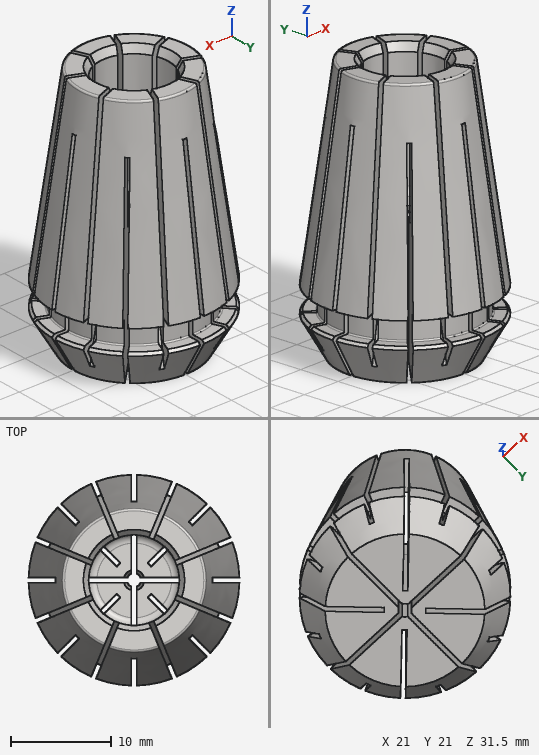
import cadquery as cq
import math

height = 31.5
max_diameter = 21.0
taper_angle = 8.0
nose_angle = 30.0
nose_height = 4.45
lip_chamfer = 0.3
neck_diameter = 17.5
neck_top = 7.55
neck_fillet = 0.15
top_fillet = 0.25

bore_diameter = 9.0
bore_floor = 15.5
bore_floor_fillet = 0.8
bore_chamfer_width = 0.55
bore_chamfer_depth = 0.95
clamp_diameter = 1.4
mouth_diameter = 2.05
mouth_depth = 2.2

slot_width = 0.5
cross_slot_top = 26.55
diagonal_slot_top = 25.48
diagonal_slot_inner_radius = 2.05
diagonal_slot_arc_start = 12.47
diagonal_slot_arc_radius = 31.5
upper_slot_mouth = 2.0
upper_slot_angle = 18.0
slots_per_ring = 4

max_radius = max_diameter / 2
neck_radius = neck_diameter / 2
bore_radius = bore_diameter / 2
clamp_radius = clamp_diameter / 2
mouth_radius = mouth_diameter / 2
lip_top = nose_height + lip_chamfer
nose_slope = math.tan(math.radians(nose_angle))
nose_radius = max_radius - nose_height * nose_slope
top_radius = max_radius - (height - neck_top) * math.tan(math.radians(taper_angle))
slot_reach = max_radius + slot_width
slot_pitch = 360 / slots_per_ring


def revolve_about_z(profile):
    return profile.revolve(360, (0, 0, 0), (0, 1, 0))


def make_body():
    """Solid of revolution: nose cone, neck groove and long cone."""
    profile = (
        cq.Workplane("XZ")
        .lineTo(nose_radius, 0)
        .lineTo(max_radius, nose_height)
        .lineTo(max_radius - lip_chamfer, lip_top)
        .lineTo(neck_radius + neck_fillet, lip_top)
        .radiusArc((neck_radius, lip_top + neck_fillet), neck_fillet)
        .lineTo(neck_radius, neck_top)
        .lineTo(max_radius, neck_top)
        .lineTo(top_radius, height)
        .lineTo(0, height)
        .close()
    )
    return revolve_about_z(profile).faces(">Z").edges().fillet(top_fillet)


def make_bore():
    """Wide bore with a rounded floor, and a small bore below it with a flared mouth."""
    flare_width = mouth_radius - clamp_radius
    flare_radius = (mouth_depth**2 + flare_width**2) / (2 * flare_width)
    profile = (
        cq.Workplane("XZ")
        .lineTo(clamp_radius, 0)
        .lineTo(clamp_radius, bore_floor - mouth_depth)
        .radiusArc((mouth_radius, bore_floor), flare_radius)
        .lineTo(bore_radius - bore_floor_fillet, bore_floor)
        .radiusArc((bore_radius, bore_floor + bore_floor_fillet), -bore_floor_fillet)
        .lineTo(bore_radius, height - bore_chamfer_depth)
        .lineTo(bore_radius + bore_chamfer_width, height)
        .lineTo(0, height)
        .close()
    )
    return revolve_about_z(profile)


def cross_slot_profile():
    """Plain rectangle from the axis outward."""
    return (
        cq.Workplane("XZ")
        .lineTo(slot_reach, 0)
        .lineTo(slot_reach, cross_slot_top)
        .lineTo(0, cross_slot_top)
        .close()
    )


def diagonal_slot_profile():
    """Slot whose inner end curves outward just below the bore floor."""
    arc_rise = bore_floor - diagonal_slot_arc_start
    arc_shift = diagonal_slot_arc_radius - math.sqrt(diagonal_slot_arc_radius**2 - arc_rise**2)
    arc_end_radius = diagonal_slot_inner_radius + arc_shift
    return (
        cq.Workplane("XZ")
        .moveTo(diagonal_slot_inner_radius, 0)
        .lineTo(diagonal_slot_inner_radius, diagonal_slot_arc_start)
        .radiusArc((arc_end_radius, bore_floor), diagonal_slot_arc_radius)
        .lineTo(arc_end_radius, diagonal_slot_top)
        .lineTo(slot_reach, diagonal_slot_top)
        .lineTo(slot_reach, 0)
        .close()
    )


def upper_slot_profile():
    """Slot open at the top, with a steep floor falling from the bore to the nose cone."""
    mouth_edge_radius = nose_radius + upper_slot_mouth * nose_slope
    floor_run = (height - upper_slot_mouth) * math.tan(math.radians(upper_slot_angle))
    return (
        cq.Workplane("XZ")
        .moveTo(mouth_edge_radius, upper_slot_mouth)
        .lineTo(slot_reach, upper_slot_mouth)
        .lineTo(slot_reach, height)
        .lineTo(mouth_edge_radius - floor_run, height)
        .close()
    )


def make_slots(profile, first_angle, count):
    """Radial slots of the given side profile, evenly spaced around the axis."""
    slot = profile.extrude(slot_width / 2, both=True)
    slots = cq.Workplane("XY")
    for index in range(count):
        angle = first_angle + index * 360 / count
        slots = slots.add(slot.rotate((0, 0, 0), (0, 0, 1), angle))
    return slots.combine()


result = (
    make_body()
    .cut(make_bore())
    .cut(make_slots(cross_slot_profile(), 0, slots_per_ring))
    .cut(make_slots(diagonal_slot_profile(), slot_pitch / 2, slots_per_ring))
    .cut(make_slots(upper_slot_profile(), slot_pitch / 4, 2 * slots_per_ring))
)